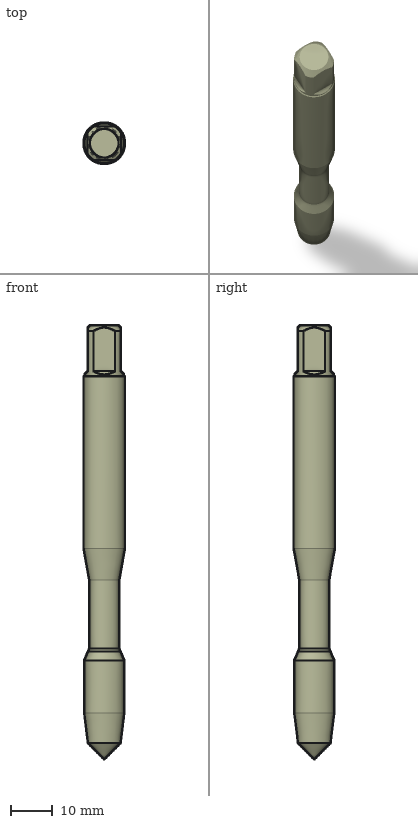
import cadquery as cq

total_length = 103.7

shank_radius = 10.0 / 2
shank_bottom = 50.4
shank_top = 91.4
drive_radius = 9.5 / 2
drive_bottom = 91.6
square_width = 8.0
flat_bottom = 92.7
end_face_radius = 3.4
end_chamfer_height = 1.5

neck_radius = 7.3 / 2
neck_top = 42.8
neck_bottom = 26.4

head_radius = 9.6 / 2
head_shoulder = 23.6
head_taper_start = 11.1
point_radius = 3.9
point_height = point_radius

head_top = 25.8
shoulder_slope = (head_radius - neck_radius) / (neck_bottom - head_shoulder)
head_top_radius = neck_radius + shoulder_slope * (neck_bottom - head_top)


def revolve_profile(points):
    """Turn a closed (radius, height) outline about the Z axis."""
    return cq.Workplane("XZ").polyline(points).close().revolve(360, (0, 0), (0, 1))


def flat_cutter():
    """Waste outside the +X flat, ending in a 45 degree slope at the bottom."""
    flat_distance = square_width / 2
    cutter_depth = shank_radius
    return (
        cq.Workplane("XZ")
        .polyline([
            (flat_distance, total_length),
            (flat_distance, flat_bottom),
            (flat_distance + cutter_depth, flat_bottom - cutter_depth),
            (flat_distance + cutter_depth, total_length),
        ])
        .close()
        .extrude(shank_radius, both=True)
    )


def make_shank():
    """Neck, cylindrical shank and chamfered driving square."""
    shank = revolve_profile([
        (0, head_top),
        (head_top_radius, head_top),
        (neck_radius, neck_bottom),
        (neck_radius, neck_top),
        (shank_radius, shank_bottom),
        (shank_radius, shank_top),
        (drive_radius, drive_bottom),
        (drive_radius, total_length - end_chamfer_height),
        (end_face_radius, total_length),
        (0, total_length),
    ])
    for angle in (0, 90, 180, 270):
        shank = shank.cut(flat_cutter().rotate((0, 0, 0), (0, 0, 1), angle))
    return shank


def make_head():
    """Tapered cutting head with its conical point."""
    return revolve_profile([
        (0, 0),
        (point_radius, point_height),
        (head_radius, head_taper_start),
        (head_radius, head_shoulder),
        (head_top_radius, head_top),
        (0, head_top),
    ])


shank = make_shank()
head = make_head()

result = cq.Compound.makeCompound([shank.val(), head.val()])